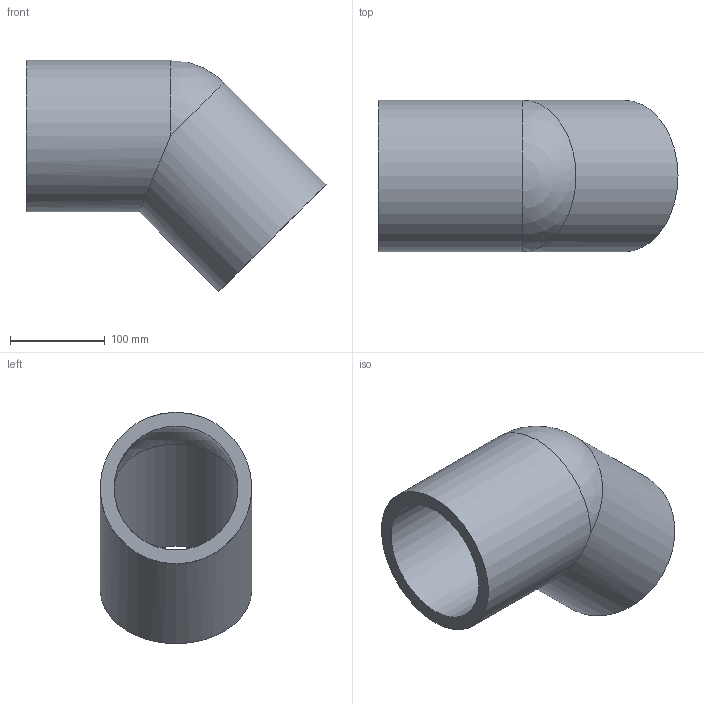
import cadquery as cq
import math

outer_diameter = 160.0
bore_diameter = 130.8
leg_length = 152.5
bend_angle = math.radians(45.0)

joint_centre = cq.Vector(0, 0, 0)
inlet_direction = cq.Vector(-1, 0, 0)
outlet_direction = cq.Vector(math.cos(bend_angle), 0, -math.sin(bend_angle))


def bent_rod(diameter):
    """Solid rod along both legs, rounded by a ball of the same diameter at the joint."""
    radius = diameter / 2
    rod = cq.Workplane("XY").sphere(radius)
    for direction in (inlet_direction, outlet_direction):
        leg = cq.Solid.makeCylinder(radius, leg_length, joint_centre, direction)
        rod = rod.union(cq.Workplane(obj=leg))
    return rod


result = bent_rod(outer_diameter).cut(bent_rod(bore_diameter))